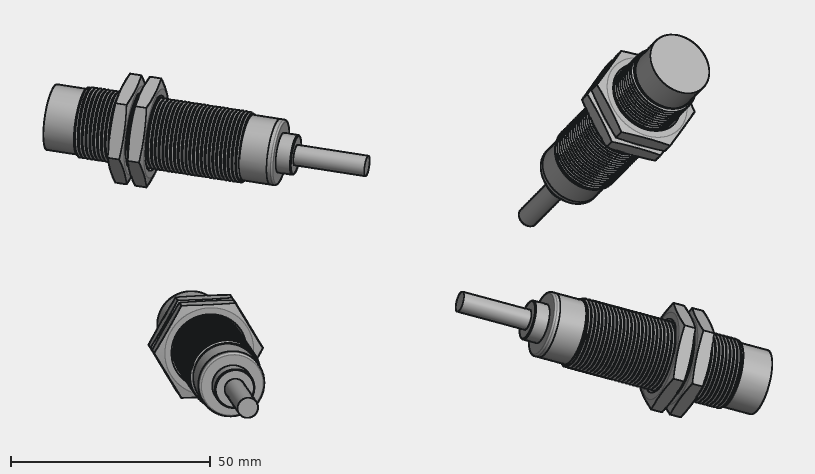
import cadquery as cq
import math

TOTAL_LENGTH = 81.9

CAP_LENGTH = 7.95

THREAD_END = 51.05
BARREL_END = 58.1
BODY_RADIUS = 8.35
CREST_RADIUS = 9.0
PITCH = 1.0
ROOT_FLAT = 0.2
THREAD_START_ANGLE = 65.0
THREAD_CHAMFER = 0.5
RIDGE_RUNOUT = 2 * PITCH
RIDGE_OVERLAP = 0.04
ENVELOPE_CLEARANCE = 0.1

END_CAP_END = 59.6
END_CAP_FILLET = 0.5
GLAND_END = 63.5
GLAND_RADIUS = 5.1
GLAND_CHAMFER = 0.25

CABLE_RADIUS = 2.6

NUT_ACROSS_FLATS = 24.0
NUT_WIDTH = 3.9
NUT_GAP = 1.2
FIRST_NUT_START = 17.9
NUT_COUNT = 2
NUT_FACE_RADIUS = 11.3
NUT_CORNER_DEPTH = 0.5
NUT_COUNTERSINK = 0.6


def cylinder(radius, start, end):
    """Solid cylinder along X from start to end."""
    return cq.Workplane("YZ", origin=(start, 0, 0)).circle(radius).extrude(end - start)


def make_sensing_cap():
    return cylinder(BODY_RADIUS, 0, CAP_LENGTH)


def thread_ridge():
    """Right-handed sharp-crested helical ridge, longer than the thread at both ends."""
    start = CAP_LENGTH - RIDGE_RUNOUT
    length = THREAD_END - CAP_LENGTH + 2 * RIDGE_RUNOUT
    buried_radius = BODY_RADIUS - RIDGE_OVERLAP
    flank_slope = (PITCH - ROOT_FLAT) / 2 / (CREST_RADIUS - BODY_RADIUS)
    half_base = flank_slope * (CREST_RADIUS - buried_radius)

    helix = cq.Wire.makeHelix(PITCH, length, BODY_RADIUS)
    ridge = (
        cq.Workplane("XZ")
        .polyline([
            (buried_radius, -half_base),
            (CREST_RADIUS, 0),
            (buried_radius, half_base),
        ])
        .close()
        .sweep(cq.Workplane(helix), isFrenet=True)
    )
    return (
        ridge.rotate((0, 0, 0), (0, 0, 1), THREAD_START_ANGLE)
        .rotate((0, 0, 0), (0, 1, 0), 90)
        .translate((start, 0, 0))
    )


def make_barrel():
    """Solid core carrying the thread, whose two ends are chamfered."""
    thread_envelope = (
        cylinder(CREST_RADIUS + ENVELOPE_CLEARANCE, CAP_LENGTH, THREAD_END)
        .edges()
        .chamfer(THREAD_CHAMFER + ENVELOPE_CLEARANCE)
    )
    core = cylinder(BODY_RADIUS, CAP_LENGTH, BARREL_END)
    return core.union(thread_ridge().intersect(thread_envelope))


def make_end_cap():
    """Closing cap with the gland, bored through for the cable."""
    cap = cylinder(BODY_RADIUS, BARREL_END, END_CAP_END).faces(">X").edges().fillet(END_CAP_FILLET)
    gland = cylinder(GLAND_RADIUS, END_CAP_END, GLAND_END).faces(">X").edges().chamfer(GLAND_CHAMFER)
    return cap.union(gland).cut(cylinder(CABLE_RADIUS, BARREL_END, GLAND_END))


def make_cable():
    return cylinder(CABLE_RADIUS, BARREL_END, TOTAL_LENGTH)


def make_nut(start):
    """Hexagonal nut with corners pointing along Y, its first face at x = start."""
    corner_radius = NUT_ACROSS_FLATS / math.sqrt(3)
    hexagon = cq.Workplane("YZ").polygon(6, 2 * corner_radius).extrude(NUT_WIDTH)
    countersink_radius = CREST_RADIUS + NUT_COUNTERSINK
    turned_ring = (
        cq.Workplane("XY")
        .polyline([
            (0, countersink_radius),
            (0, NUT_FACE_RADIUS),
            (NUT_CORNER_DEPTH, corner_radius),
            (NUT_WIDTH - NUT_CORNER_DEPTH, corner_radius),
            (NUT_WIDTH, NUT_FACE_RADIUS),
            (NUT_WIDTH, countersink_radius),
            (NUT_WIDTH - NUT_COUNTERSINK, CREST_RADIUS),
            (NUT_COUNTERSINK, CREST_RADIUS),
        ])
        .close()
        .revolve(360, (0, 0, 0), (1, 0, 0))
    )
    return hexagon.intersect(turned_ring).translate((start, 0, 0))


sensing_cap = make_sensing_cap()
barrel = make_barrel()
end_cap = make_end_cap()
cable = make_cable()
nuts = [make_nut(FIRST_NUT_START + i * (NUT_WIDTH + NUT_GAP)) for i in range(NUT_COUNT)]

result = cq.Compound.makeCompound([
    sensing_cap.val(),
    barrel.val(),
    end_cap.val(),
    cable.val(),
    *[nut.val() for nut in nuts],
])